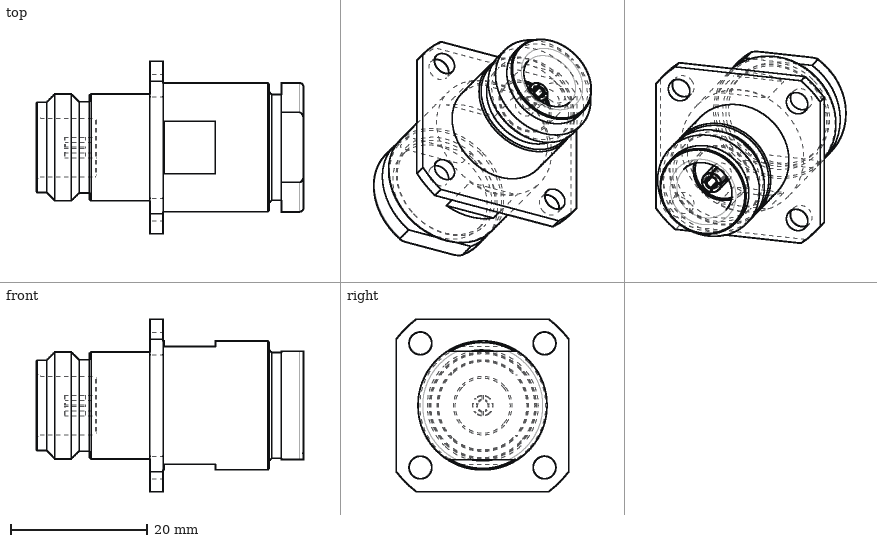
import cadquery as cq
import math

length = 39.3
lip_end = 1.55
collar_start = 2.75
collar_end = 5.1
neck_start = 6.3
barrel_start = 7.82
flange_start = 16.7
flange_end = 18.65
wrench_flat_start = 18.83
wrench_flat_end = 26.35
body_end = 34.25
nut_start = 36.0

lip_diameter = 13.3
neck_diameter = 13.5
barrel_diameter = 15.75
body_diameter = 19.0
rear_neck_diameter = 15.6

lip_chamfer = 0.15
barrel_chamfer = 0.25
body_chamfer = 0.25
rear_neck_chamfer = 0.35
nut_fillet = 0.65

body_across_flats = 17.35
nut_across_flats = 15.95

flange_side = 25.4
flange_corner_diameter = 32.0
mount_hole_diameter = 3.3
mount_hole_pitch = 18.25

bore_diameter = 8.6
bore_depth = 8.65
bore_mouth_radius = 0.8
seat_diameter = 8.1
seat_depth = 0.2

contact_diameter = 3.03
contact_tip = 4.1
contact_bore_diameter = 1.57
contact_bore_depth = 3.95
contact_bore_chamfer = 0.15
contact_tip_chamfer = 0.08
contact_slot_width = 0.2
contact_slot_depth = 3.15


def cylinder(diameter, start, end):
    """Solid cylinder on the X axis between two axial positions."""
    return cq.Workplane("YZ", origin=(start, 0, 0)).circle(diameter / 2).extrude(end - start)


def axial_box(start, end, size_y, size_z):
    """Box centred on the X axis between two axial positions."""
    return cq.Workplane("YZ", origin=(start, 0, 0)).rect(size_y, size_z).extrude(end - start)


def make_turned_shell():
    """Revolve the stepped outside from the mating face to the rear neck."""
    lip_r = lip_diameter / 2
    neck_r = neck_diameter / 2
    barrel_r = barrel_diameter / 2
    body_r = body_diameter / 2
    rear_r = rear_neck_diameter / 2
    profile = [
        (0, 0),
        (0, lip_r - lip_chamfer),
        (lip_chamfer, lip_r),
        (lip_end, lip_r),
        (collar_start, barrel_r),
        (collar_end, barrel_r),
        (neck_start, neck_r),
        (barrel_start, neck_r),
        (barrel_start, barrel_r - barrel_chamfer),
        (barrel_start + barrel_chamfer, barrel_r),
        (flange_start, barrel_r),
        (flange_start, body_r),
        (body_end - body_chamfer, body_r),
        (body_end, body_r - body_chamfer),
        (body_end, rear_r + rear_neck_chamfer),
        (body_end + rear_neck_chamfer, rear_r),
        (nut_start, rear_r),
        (nut_start, 0),
    ]
    return cq.Workplane("XY").polyline(profile).close().revolve(360, (0, 0, 0), (1, 0, 0))


def cut_body_flats(body):
    """Mill the two opposite wrench flats, facing up and down."""
    band = cylinder(body_diameter, wrench_flat_start, wrench_flat_end)
    kept = axial_box(wrench_flat_start, wrench_flat_end, body_diameter, body_across_flats)
    return body.cut(band.cut(kept))


def make_flange():
    """Square flange with turned corners and four mounting holes."""
    square = axial_box(flange_start, flange_end, flange_side, flange_side)
    flange = square.intersect(cylinder(flange_corner_diameter, flange_start, flange_end))
    return (
        flange.faces("<X").workplane(origin=(flange_start, 0, 0))
        .rect(mount_hole_pitch, mount_hole_pitch, forConstruction=True)
        .vertices().hole(mount_hole_diameter)
    )


def make_nut():
    """Round clamping nut with a rounded rear edge and two flats."""
    nut = cylinder(body_diameter, nut_start, length).faces(">X").edges().fillet(nut_fillet)
    return nut.intersect(axial_box(nut_start, length, body_diameter, nut_across_flats))


def make_socket():
    """Volume removed by the rounded mouth, the bore and its smaller seat."""
    bore_r = bore_diameter / 2
    mouth_r = bore_r + bore_mouth_radius
    arc_offset = bore_mouth_radius * math.sqrt(0.5)
    bore = (
        cq.Workplane("XY").moveTo(0, 0).lineTo(0, mouth_r)
        .threePointArc((bore_mouth_radius - arc_offset, mouth_r - arc_offset), (bore_mouth_radius, bore_r))
        .lineTo(bore_depth, bore_r).lineTo(bore_depth, 0).close()
        .revolve(360, (0, 0, 0), (1, 0, 0))
    )
    return bore.union(cylinder(seat_diameter, bore_depth, bore_depth + seat_depth))


def make_contact():
    """Centre contact tube with a chamfered bore and four spring slots."""
    contact = cylinder(contact_diameter, contact_tip, bore_depth + seat_depth)
    contact = contact.faces("<X").chamfer(contact_tip_chamfer)
    contact = contact.cut(cylinder(contact_bore_diameter, contact_tip, contact_tip + contact_bore_depth))
    bore_rim = cq.selectors.RadiusNthSelector(0)
    contact = contact.faces("<X").edges(bore_rim).chamfer(contact_bore_chamfer)
    slot_end = contact_tip + contact_slot_depth
    upright_slot = axial_box(contact_tip, slot_end, contact_slot_width, contact_diameter)
    level_slot = axial_box(contact_tip, slot_end, contact_diameter, contact_slot_width)
    return contact.cut(upright_slot).cut(level_slot)


shell = cut_body_flats(make_turned_shell()).union(make_flange()).union(make_nut())
result = shell.cut(make_socket()).union(make_contact())